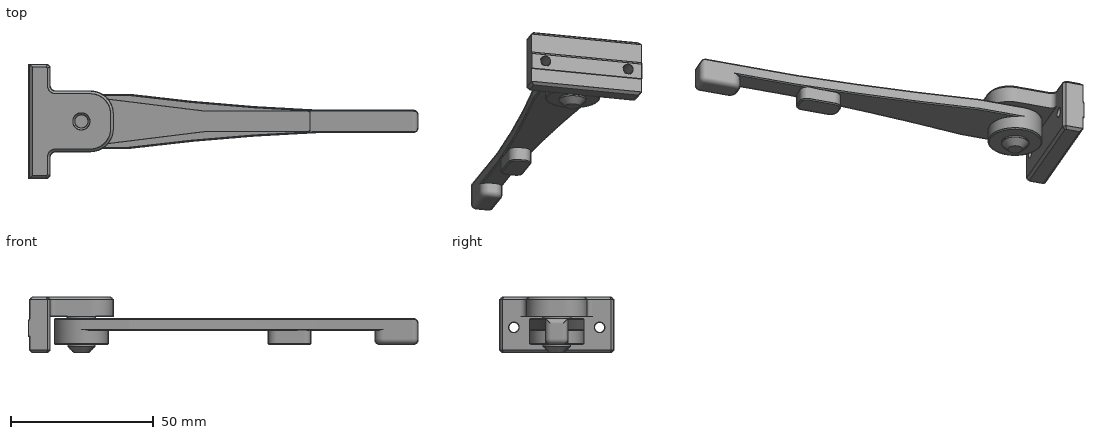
import cadquery as cq
import math

total_length = 136.3
total_height = 19.5
pivot_x = 18.5
pivot_diameter = 4.6

plate_width = 40.0
rail_height = 0.4
plate_back_x = 7.6
bracket_chamfer = 1.0
rail_bottom_z = 5.7
rail_top_z = 11.2
rail_slope_rise = 0.7
tongue_thickness = 6.8
tongue_half_width = 10.6
tongue_end_x = 29.7
tongue_corner_radius = 8.0
tongue_root_radius = 1.9
pivot_countersink_diameter = 6.0
mounting_hole_diameter = 3.5
mounting_hole_y = 15.0
mounting_hole_z = 8.9

arm_bottom_z = 7.8
arm_thickness = 4.2
arm_top_z = arm_bottom_z + arm_thickness
edge_chamfer = 0.4
boss_diameter = 19.0
boss_radius = boss_diameter / 2
boss_bottom_z = 2.9
taper_start_x = 35.3
taper_middle_x = 68.2
taper_middle_half_width = 6.0
taper_end_x = 101.0
bar_half_width = 4.0
tip_radius = 1.9
tip_block_start_x = 121.2
tip_block_start_radius = 2.9
tip_block_bottom_radius = 1.8
pad_start_x = 83.8
pad_end_x = 98.8
pad_start_radius = 3.0
pad_end_radius = 2.3

inlay_depth = 2.7
inlay_start_radius = 8.9
inlay_start_half_width = 8.7
inlay_kink_x = 62.0
inlay_half_width = 3.5
inlay_end_x = 98.5
inlay_end_radius = 0.8

washer_diameter = 10.0
washer_top_z = total_height - tongue_thickness
screw_head_diameter = 9.5
screw_point_diameter = 5.0
screw_cone_height = (screw_head_diameter - screw_point_diameter) / 2
countersink_depth = (pivot_countersink_diameter - pivot_diameter) / 2
screw_top_z = total_height - countersink_depth


def block(start_x, end_x, half_width, bottom_z, top_z):
    """Box symmetric about Y = 0."""
    return (
        cq.Workplane("XY", origin=(start_x, 0, bottom_z))
        .box(end_x - start_x, 2 * half_width, top_z - bottom_z, centered=(False, True, False))
    )


def pivot_cylinder(diameter, bottom_z, top_z):
    """Cylinder on the pivot axis."""
    return (
        cq.Workplane("XY", origin=(pivot_x, 0, bottom_z))
        .circle(diameter / 2)
        .extrude(top_z - bottom_z)
    )


def make_bracket():
    plate = block(rail_height, plate_back_x, plate_width / 2, 0, total_height)
    plate = plate.edges("|Z and >X").chamfer(bracket_chamfer)
    tongue = block(rail_height, tongue_end_x, tongue_half_width, washer_top_z, total_height)
    tongue = tongue.edges("|Z and >X").fillet(tongue_corner_radius)
    bracket = plate.union(tongue)

    reach = tongue_root_radius
    root_corners = cq.selectors.BoxSelector(
        (plate_back_x - reach, -tongue_half_width - reach, washer_top_z),
        (plate_back_x + reach, tongue_half_width + reach, total_height),
    )
    bracket = bracket.edges("|Z").edges(root_corners).fillet(tongue_root_radius)
    bracket = bracket.faces("<Z or >Z").edges().chamfer(bracket_chamfer)

    rail = (
        cq.Workplane("XZ", origin=(0, plate_width / 2, 0))
        .moveTo(rail_height, rail_bottom_z)
        .lineTo(0, rail_bottom_z)
        .lineTo(0, rail_top_z)
        .lineTo(rail_height, rail_top_z + rail_slope_rise)
        .close()
        .extrude(plate_width)
    )
    mounting_holes = (
        cq.Workplane("YZ")
        .pushPoints([(-mounting_hole_y, mounting_hole_z), (mounting_hole_y, mounting_hole_z)])
        .circle(mounting_hole_diameter / 2)
        .extrude(plate_back_x)
    )
    countersink = (
        cq.Workplane("XY", origin=(pivot_x, 0, screw_top_z))
        .circle(pivot_diameter / 2)
        .workplane(offset=countersink_depth)
        .circle(pivot_countersink_diameter / 2)
        .loft()
    )
    pivot_hole = pivot_cylinder(pivot_diameter, washer_top_z, screw_top_z)
    return bracket.union(rail).cut(mounting_holes).cut(pivot_hole).cut(countersink)


def make_arm_blade():
    blade = (
        cq.Workplane("XY", origin=(0, 0, arm_bottom_z))
        .moveTo(pivot_x, boss_radius)
        .lineTo(taper_start_x, boss_radius)
        .threePointArc((taper_middle_x, taper_middle_half_width), (taper_end_x, bar_half_width))
        .lineTo(total_length, bar_half_width)
        .lineTo(total_length, -bar_half_width)
        .lineTo(taper_end_x, -bar_half_width)
        .threePointArc((taper_middle_x, -taper_middle_half_width), (taper_start_x, -boss_radius))
        .lineTo(pivot_x, -boss_radius)
        .threePointArc((pivot_x - boss_radius, 0), (pivot_x, boss_radius))
        .close()
        .extrude(arm_thickness)
    )
    blade = blade.edges("|Z and >X").fillet(tip_radius)
    blade = blade.faces("<Z or >Z").edges().chamfer(edge_chamfer)
    rounded_end = block(0, total_length, boss_radius, 0, arm_top_z)
    rounded_end = rounded_end.edges(">X and >Z").fillet(tip_radius)
    return blade.intersect(rounded_end)


def make_tip_block():
    tip = block(tip_block_start_x, total_length, bar_half_width, boss_bottom_z, arm_top_z - tip_radius)
    tip = tip.edges("|Z and <X").fillet(tip_block_start_radius)
    tip = tip.edges("|Z and >X").fillet(tip_radius)
    return tip.faces("<Z").edges().fillet(tip_block_bottom_radius)


def make_pad():
    pad = block(pad_start_x, pad_end_x, bar_half_width, boss_bottom_z, arm_bottom_z + edge_chamfer)
    pad = pad.edges("|Z and <X").fillet(pad_start_radius)
    pad = pad.edges("|Z and >X").fillet(pad_end_radius)
    return pad.faces("<Z").edges().chamfer(edge_chamfer)


def make_inlay():
    start_x = pivot_x + math.sqrt(inlay_start_radius**2 - inlay_start_half_width**2)
    inlay = (
        cq.Workplane("XY", origin=(0, 0, arm_top_z - inlay_depth))
        .moveTo(start_x, inlay_start_half_width)
        .lineTo(inlay_kink_x, inlay_half_width)
        .lineTo(inlay_end_x, inlay_half_width)
        .lineTo(inlay_end_x, -inlay_half_width)
        .lineTo(inlay_kink_x, -inlay_half_width)
        .lineTo(start_x, -inlay_start_half_width)
        .threePointArc((pivot_x + inlay_start_radius, 0), (start_x, inlay_start_half_width))
        .close()
        .extrude(inlay_depth)
    )
    return inlay.edges("|Z and >X").fillet(inlay_end_radius)


def make_arm(inlay):
    boss = pivot_cylinder(boss_diameter, boss_bottom_z, arm_top_z - edge_chamfer)
    boss = boss.faces("<Z").edges().chamfer(edge_chamfer)
    arm = make_arm_blade().union(boss).union(make_tip_block()).union(make_pad())
    pivot_hole = pivot_cylinder(pivot_diameter, boss_bottom_z, arm_top_z)
    return arm.cut(pivot_hole).cut(inlay)


def make_washer():
    washer = pivot_cylinder(washer_diameter, arm_top_z, washer_top_z)
    return washer.cut(pivot_cylinder(pivot_diameter, arm_top_z, washer_top_z))


def make_screw():
    shank = pivot_cylinder(pivot_diameter, boss_bottom_z, screw_top_z)
    head = pivot_cylinder(screw_head_diameter, 0, boss_bottom_z)
    head = head.faces("<Z").edges().chamfer(screw_cone_height)
    return head.union(shank)


bracket = make_bracket()
inlay = make_inlay()
arm = make_arm(inlay)
washer = make_washer()
screw = make_screw()

result = cq.Compound.makeCompound([bracket.val(), arm.val(), inlay.val(), washer.val(), screw.val()])